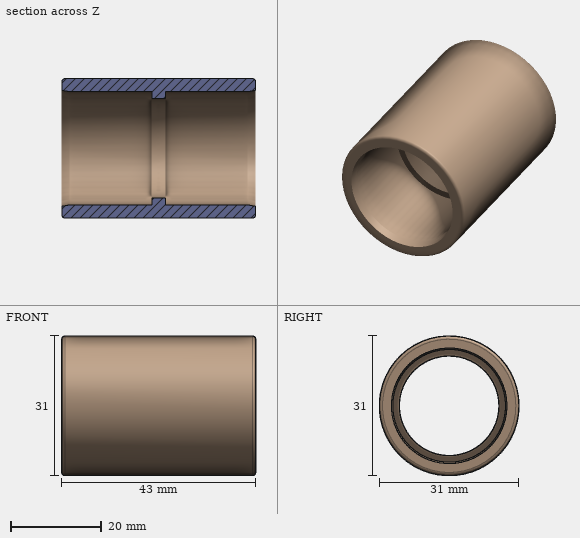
import cadquery as cq

length = 43.0
outer_diameter = 31.0
socket_diameter = 25.0
mouth_diameter = 25.63
mouth_depth = 1.8
stop_diameter = 22.0
edge_radius = 0.75

outer_radius = outer_diameter / 2
socket_radius = socket_diameter / 2
mouth_radius = mouth_diameter / 2
stop_radius = stop_diameter / 2
stop_thickness = outer_radius - socket_radius

half_length = length / 2
half_stop = stop_thickness / 2


def outer_body():
    """Solid cylinder along X with both outer rims rounded."""
    cylinder = cq.Workplane("YZ", origin=(-half_length, 0, 0)).circle(outer_radius).extrude(length)
    return cylinder.faces("<X or >X").edges().fillet(edge_radius)


def stepped_bore():
    """Revolved cavity: a tapered mouth and socket at each end, joined through the stop."""
    taper_end = half_length - mouth_depth
    profile = (
        cq.Workplane("XY")
        .moveTo(-half_length, 0)
        .lineTo(-half_length, mouth_radius)
        .lineTo(-taper_end, socket_radius)
        .lineTo(-half_stop, socket_radius)
        .lineTo(-half_stop, stop_radius)
        .lineTo(half_stop, stop_radius)
        .lineTo(half_stop, socket_radius)
        .lineTo(taper_end, socket_radius)
        .lineTo(half_length, mouth_radius)
        .lineTo(half_length, 0)
        .close()
    )
    return profile.revolve(360, (0, 0, 0), (1, 0, 0))


result = outer_body().cut(stepped_bore())